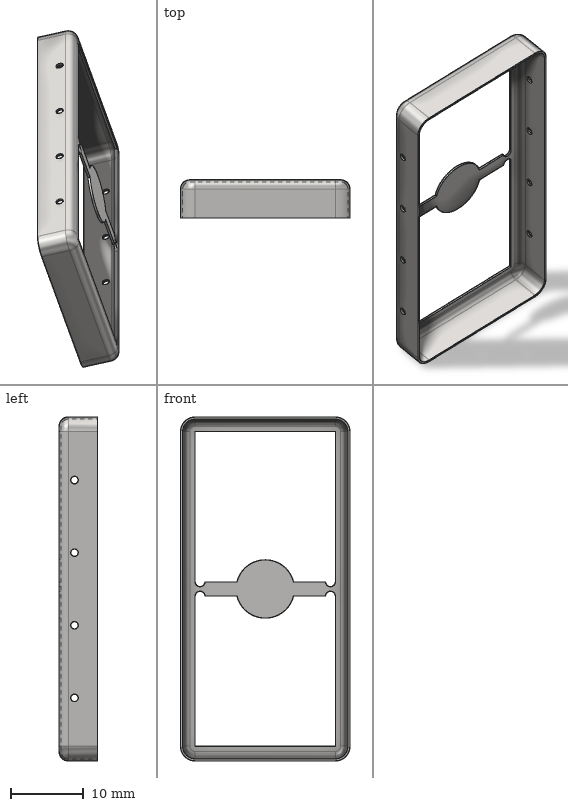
import cadquery as cq

width = 23.3
depth = 5.3
height = 47.3

wall = 0.3
corner_radius = 2.05
back_edge_radius = 1.3
rim_inset = corner_radius

disc_radius = 4.0
arm_height = 2.0
notch_radius = 0.65

hole_diameter = 1.0
hole_pitch = 10.0
hole_count = 4
hole_from_back = 2.15

back_y = depth / 2
window_width = width - 2 * rim_inset
window_height = height - 2 * rim_inset


def rounded_block(inset):
    """Block with rounded corners and back edges, inset from all sides but the front."""
    block_depth = depth - inset
    return (
        cq.Workplane("XZ", origin=(0, back_y - inset, 0))
        .rect(width - 2 * inset, height - 2 * inset)
        .extrude(block_depth)
        .edges("|Y")
        .fillet(corner_radius - inset)
        .faces(">Y")
        .edges()
        .fillet(back_edge_radius - inset)
    )


def back_sketch():
    """Workplane on the outer back face; extrusions run toward the front."""
    return cq.Workplane("XZ", origin=(0, back_y, 0))


def make_frame():
    window = back_sketch().rect(window_width, window_height).extrude(depth)
    return rounded_block(0).cut(rounded_block(wall)).cut(window)


def make_disc_and_arms():
    arms = back_sketch().rect(window_width + 2 * wall, arm_height).extrude(wall)
    notch_x = window_width / 2 - notch_radius
    notch_z = arm_height / 2
    notch_centers = [(x, z) for x in (-notch_x, notch_x) for z in (-notch_z, notch_z)]
    notches = back_sketch().pushPoints(notch_centers).circle(notch_radius).extrude(wall)
    disc = back_sketch().circle(disc_radius).extrude(wall)
    return arms.cut(notches).union(disc)


def make_side_holes():
    return (
        cq.Workplane("YZ", origin=(-width / 2, back_y - hole_from_back, 0))
        .rarray(0.45, hole_pitch, 1, hole_count)
        .circle(hole_diameter / 2)
        .extrude(width)
    )


result = make_frame().union(make_disc_and_arms()).cut(make_side_holes())